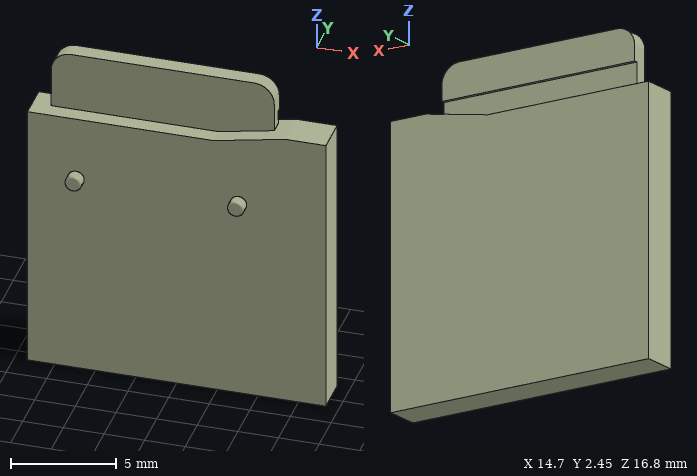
import cadquery as cq

body_width = 14.7
body_thickness = 1.9
low_top = 13.8
high_top = 14.48
ramp_start = 9.17
ramp_end = 12.7

overall_height = 16.8
tab_left = 0.92
tab_right = 11.91
tab_thickness = 0.87
tab_back_inset = 0.18
tab_corner_radius = 1
tab_relief_depth = 0.18
tab_relief_top = 15.0

pin_diameter = 0.8
pin_length = 0.55
pin_edge_radius = 0.1
pin_first_x = 2.4
pin_spacing = 8.0
pin_height = 10.5


def make_body():
    """Plate whose top edge ramps up towards the right."""
    return (
        cq.Workplane("XZ")
        .polyline([
            (0, 0),
            (body_width, 0),
            (body_width, high_top),
            (ramp_end, high_top),
            (ramp_start, low_top),
            (0, low_top),
        ])
        .close()
        .extrude(-body_thickness)
    )


def make_tab():
    """Tab with rounded top corners and a relief along its lower back face."""
    tab_width = tab_right - tab_left
    tab_back = body_thickness - tab_back_inset
    tab = (
        cq.Workplane("XY")
        .box(tab_width, tab_thickness, overall_height - low_top, centered=False)
        .translate((tab_left, tab_back - tab_thickness, low_top))
        .edges("|Y and >Z")
        .fillet(tab_corner_radius)
    )
    relief = (
        cq.Workplane("XY")
        .box(tab_width, tab_relief_depth, tab_relief_top - low_top, centered=False)
        .translate((tab_left, tab_back - tab_relief_depth, low_top))
    )
    return tab.cut(relief)


def make_pin(x):
    """Round pin pointing forward, with a rounded outer rim."""
    return (
        cq.Workplane("XZ")
        .center(x, pin_height)
        .circle(pin_diameter / 2)
        .extrude(pin_length)
        .faces("<Y")
        .edges()
        .fillet(pin_edge_radius)
    )


result = make_body().union(make_tab())
for pin_x in (pin_first_x, pin_first_x + pin_spacing):
    result = result.union(make_pin(pin_x))